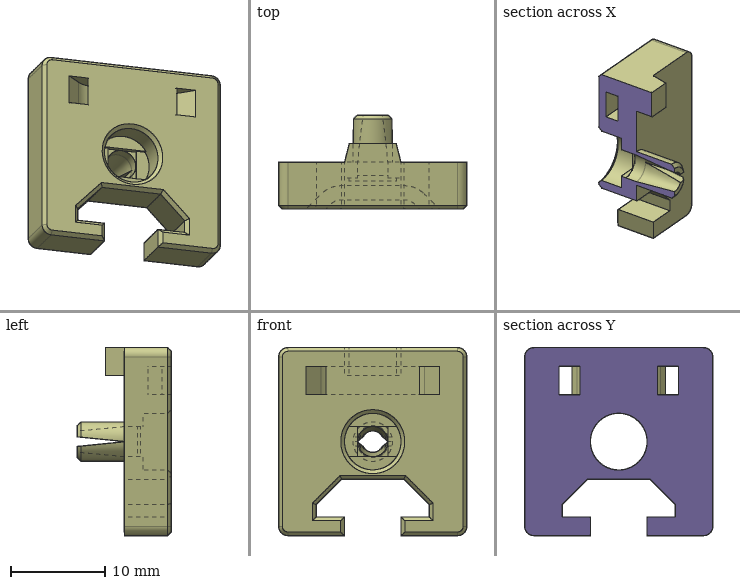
import cadquery as cq
import math

size = 20.0
half = size / 2
plate_depth = 5.0
corner_radius = 1.0
chamfer = 0.4

slot_half_width = 6.0
slot_top_half_width = 3.3
slot_top_z = -4.0
slot_bottom_z = -8.0
mouth_half_width = 3.0
slot_shoulder_z = slot_top_z - (slot_half_width - slot_top_half_width)

recess_diameter = 6.0
recess_depth = 3.0
hole_diameter = 3.2
step_depth = 0.3

pin_diameter = 4.2
pin_length = 5.0
bore_tip_diameter = 2.25
split_tip_half_width = 0.5

key_base_width = 6.0
key_tip_width = 5.0
key_depth = 2.0
key_height = 3.0

channel_bottom_z = 5.0
channel_height = 3.0
channel_outer_half_width = 7.1
channel_back_y = 2.5
channel_thickness = 1.5
bend_outer_radius = 3.0
bend_inner_radius = bend_outer_radius - channel_thickness
bend_centre_y = channel_back_y - bend_outer_radius
bend_centre_x = channel_outer_half_width - bend_outer_radius * math.sqrt(2) - bend_centre_y


def front_plane(y):
    """Workplane facing +Y at depth y, whose local y is Z."""
    return cq.Workplane("XZ", origin=(0, y, 0)).transformed(rotate=(0, 180, 0))


def make_plate():
    right_side = [
        (half, half),
        (half, -half),
        (mouth_half_width, -half),
        (mouth_half_width, slot_bottom_z),
        (slot_half_width, slot_bottom_z),
        (slot_half_width, slot_shoulder_z),
        (slot_top_half_width, slot_top_z),
    ]
    left_side = [(-x, z) for x, z in reversed(right_side)]
    plate = front_plane(0).polyline(right_side + left_side).close().extrude(plate_depth)
    for side in ("<X", ">X"):
        plate = plate.faces(side).edges("|Y").fillet(corner_radius)
    return plate.faces("<Y").chamfer(chamfer)


def make_pin():
    pin = front_plane(plate_depth).circle(pin_diameter / 2).extrude(pin_length)
    return pin.faces(">Y").chamfer(chamfer)


def make_key():
    outline = [
        (-key_base_width / 2, plate_depth),
        (-key_tip_width / 2, plate_depth + key_depth),
        (key_tip_width / 2, plate_depth + key_depth),
        (key_base_width / 2, plate_depth),
    ]
    base = cq.Workplane("XY", origin=(0, 0, half - key_height))
    return base.polyline(outline).close().extrude(key_height)


def make_screw_passage():
    recess_radius = recess_diameter / 2
    recess = front_plane(0).circle(recess_radius).extrude(recess_depth)
    mouth_radius = recess_radius + chamfer
    countersink = cq.Workplane(
        cq.Solid.makeCone(mouth_radius, recess_radius, chamfer, cq.Vector(0, 0, 0), cq.Vector(0, 1, 0))
    )
    band = front_plane(recess_depth).rect(recess_diameter, hole_diameter).extrude(step_depth)
    band = band.intersect(front_plane(recess_depth).circle(recess_radius).extrude(step_depth))
    square_y = recess_depth + step_depth
    square = front_plane(square_y).rect(hole_diameter, hole_diameter).extrude(step_depth)
    hole_y = square_y + step_depth
    hole = front_plane(hole_y).circle(hole_diameter / 2).extrude(plate_depth - hole_y)
    bore = cq.Workplane(
        cq.Solid.makeCone(
            hole_diameter / 2, bore_tip_diameter / 2, pin_length,
            cq.Vector(0, plate_depth, 0), cq.Vector(0, 1, 0),
        )
    )
    return recess.union(countersink).union(band).union(square).union(hole).union(bore)


def make_pin_split():
    """Wedge that closes to nothing at the root of the pin."""
    tip_y = plate_depth + pin_length
    wedge = [(plate_depth, 0), (tip_y, split_tip_half_width), (tip_y, -split_tip_half_width)]
    return cq.Workplane("YZ").polyline(wedge).close().extrude(pin_diameter / 2, both=True)


def bend_point(radius, angle):
    """Point on the right-hand bend, with the angle in degrees from +X towards +Y."""
    turn = math.radians(angle)
    return bend_centre_x + radius * math.cos(turn), bend_centre_y + radius * math.sin(turn)


def mirrored(point):
    return -point[0], point[1]


def make_channel_wall_solid(radius):
    """Solid between the front face and one wall of the channel."""
    slope_end = bend_point(radius, 45)
    bend_middle = bend_point(radius, 67.5)
    bend_end = bend_point(radius, 90)
    front_corner = (sum(slope_end), 0)
    return (
        cq.Workplane("XY", origin=(0, 0, channel_bottom_z))
        .moveTo(*front_corner)
        .lineTo(*slope_end)
        .threePointArc(bend_middle, bend_end)
        .lineTo(*mirrored(bend_end))
        .threePointArc(mirrored(bend_middle), mirrored(slope_end))
        .lineTo(*mirrored(front_corner))
        .close()
        .extrude(channel_height)
    )


def make_tie_channel():
    return make_channel_wall_solid(bend_outer_radius).cut(make_channel_wall_solid(bend_inner_radius))


body = make_plate().union(make_key()).union(make_pin())
result = body.cut(make_screw_passage()).cut(make_pin_split()).cut(make_tie_channel())